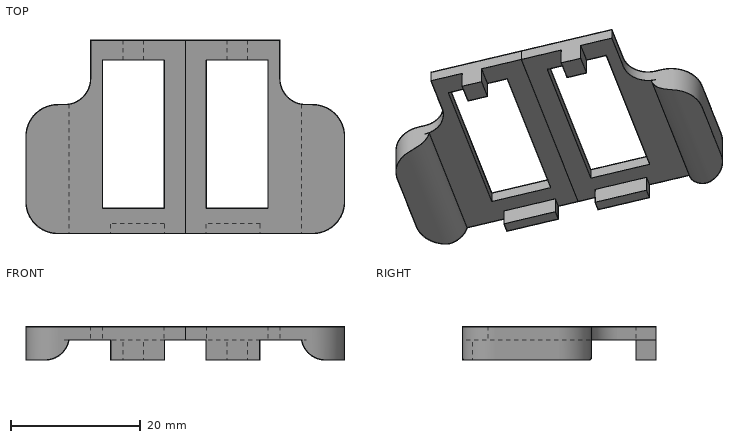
import cadquery as cq

half_width = 24.7
depth = 30.0
height = 5.2
plate_thickness = 2.07
underside = height - plate_thickness

neck_half_width = 14.65
wing_depth = 20.0
wing_corner_radius = 5.0
neck_fillet_radius = 4.0

window_inner_x = 3.25
window_outer_x = 12.8
window_front_y = 3.95
rear_margin = 3.1
window_rear_y = depth - rear_margin

front_tab_inner_x = 3.2
front_tab_outer_x = 11.55
front_tab_thickness = 1.6
rear_tab_width = 3.15
rear_tab_center_x = (window_inner_x + window_outer_x) / 2
rear_tab_inner_x = rear_tab_center_x - rear_tab_width / 2
rear_tab_outer_x = rear_tab_center_x + rear_tab_width / 2

foot_round_radius = 3.8
foot_flat_width = 2.95


def box(x_min, x_max, y_min, y_max, z_min, z_max):
    """Axis-aligned block between the given limits."""
    size = (x_max - x_min, y_max - y_min, z_max - z_min)
    return cq.Workplane("XY").box(*size, centered=False).translate((x_min, y_min, z_min))


def outline_prism():
    """Full-height prism of the half outline: a wide wing and a narrower neck."""
    return (
        cq.Workplane("XY")
        .polyline([
            (0, 0),
            (half_width, 0),
            (half_width, wing_depth),
            (neck_half_width, wing_depth),
            (neck_half_width, depth),
            (0, depth),
        ])
        .close()
        .extrude(height)
        .faces(">X")
        .edges("|Z")
        .fillet(wing_corner_radius)
        .edges(cq.selectors.NearestToPointSelector((neck_half_width, wing_depth, height / 2)))
        .fillet(neck_fillet_radius)
    )


def foot_envelope():
    """Block below the wing whose inner side is a cylinder tangent to the bottom."""
    round_center_x = half_width - foot_flat_width
    flat_part = box(round_center_x, half_width, 0, wing_depth, 0, underside)
    round_part = (
        cq.Workplane("XZ", origin=(round_center_x, 0, foot_round_radius))
        .circle(foot_round_radius)
        .extrude(-wing_depth)
    )
    below_plate = box(0, half_width, 0, wing_depth, 0, underside)
    return flat_part.union(round_part.intersect(below_plate))


def half_plate():
    """The +X half: plate and foot cut to the outline, with tabs and a window."""
    plate = box(0, half_width, 0, depth, underside, height)
    front_tab = box(front_tab_inner_x, front_tab_outer_x, 0, front_tab_thickness, 0, underside)
    rear_tab = box(rear_tab_inner_x, rear_tab_outer_x, window_rear_y, depth, 0, underside)
    window = box(window_inner_x, window_outer_x, window_front_y, window_rear_y, 0, height)
    return (
        plate.union(foot_envelope())
        .intersect(outline_prism())
        .union(front_tab)
        .union(rear_tab)
        .cut(window)
    )


right_half = half_plate()
left_half = half_plate().mirror("YZ")

result = cq.Compound.makeCompound([right_half.solids().val(), left_half.solids().val()])